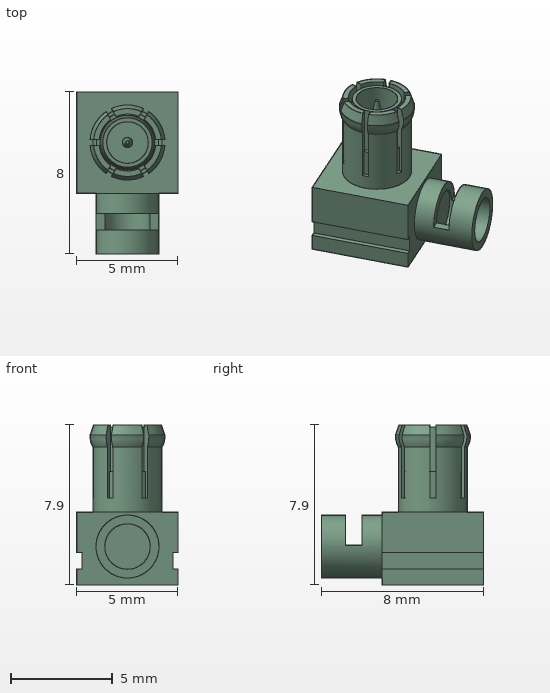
import cadquery as cq
import math

TOTAL_LENGTH = 8.0
TOTAL_HEIGHT = 7.9

BODY_SIDE = 5.0
BODY_HEIGHT = 3.6
SIDE_GROOVE_DEPTH = 0.25
SIDE_GROOVE_BOTTOM = 0.8
SIDE_GROOVE_WIDTH = 0.8

FERRULE_LENGTH = TOTAL_LENGTH - BODY_SIDE
FERRULE_RADIUS = 1.55
FERRULE_BORE_RADIUS = 1.12
FERRULE_AXIS_Z = 1.9
WINDOW_OFFSET = 1.0
WINDOW_WIDTH = 0.8
WINDOW_FLOOR_Z = 1.97
BORE_FLOOR_OFFSET = 0.9

SLEEVE_RADIUS = 1.7
SLEEVE_TIP_RADIUS = 1.67
SNAP_RADIUS = 1.85
SNAP_BOTTOM_Z = 6.8
SNAP_LAND_BOTTOM_Z = 7.3
SNAP_LAND_TOP_Z = 7.39
SLOT_COUNT = 6
SLOT_WIDTH = 0.3
SLOT_BOTTOM_Z = 4.3

SHOULDER_RADIUS = 1.53
SHOULDER_Z = 5.6
FINGER_BORE_RADIUS = 1.4
LINER_BASE_RADIUS = 1.34
LINER_TIP_RADIUS = 1.22
LINER_TOP_Z = 7.8
LINER_BORE_RADIUS = 1.02

PIN_RADIUS = 0.25
PIN_TIP_RADIUS = 0.08
PIN_CONE_BOTTOM_Z = 6.9
PIN_TOP_Z = 7.7


def revolve_profile(profile):
    """Revolve a closed (radius, Z) profile about the Z axis."""
    return profile.close().revolve(360, (0, 0, 0), (0, 1, 0))


def make_body():
    body = cq.Workplane("XY").box(BODY_SIDE, BODY_SIDE, BODY_HEIGHT, centered=(True, True, False))
    groove_z = SIDE_GROOVE_BOTTOM + SIDE_GROOVE_WIDTH / 2
    for side in (-1, 1):
        groove = cq.Workplane("XY").box(2 * SIDE_GROOVE_DEPTH, BODY_SIDE, SIDE_GROOVE_WIDTH)
        body = body.cut(groove.translate((side * BODY_SIDE / 2, 0, groove_z)))
    return body


def make_ferrule():
    body_face_y = -BODY_SIDE / 2
    face = cq.Workplane("XZ", origin=(0, body_face_y, FERRULE_AXIS_Z))
    ferrule = face.circle(FERRULE_RADIUS).extrude(FERRULE_LENGTH)
    bore = (
        face.workplane(offset=BORE_FLOOR_OFFSET)
        .circle(FERRULE_BORE_RADIUS)
        .extrude(FERRULE_LENGTH - BORE_FLOOR_OFFSET)
    )
    window = cq.Workplane("XY").box(
        2 * FERRULE_RADIUS, WINDOW_WIDTH, FERRULE_RADIUS, centered=(True, True, False)
    )
    window_y = body_face_y - WINDOW_OFFSET - WINDOW_WIDTH / 2
    return ferrule.cut(bore).cut(window.translate((0, window_y, WINDOW_FLOOR_Z)))


def make_sleeve_blank():
    """Sleeve without slots: solid to the shoulder, then a thin wall with the snap bead."""
    bead_rise = SNAP_LAND_BOTTOM_Z - SNAP_BOTTOM_Z
    bead_swell = SNAP_RADIUS - SLEEVE_RADIUS
    flank_radius = (bead_rise**2 + bead_swell**2) / (2 * bead_swell)
    half_angle = math.asin(bead_rise / flank_radius) / 2
    flank_middle = (
        SNAP_RADIUS - flank_radius * (1 - math.cos(half_angle)),
        SNAP_LAND_BOTTOM_Z - flank_radius * math.sin(half_angle),
    )
    return revolve_profile(
        cq.Workplane("XZ")
        .moveTo(0, BODY_HEIGHT)
        .lineTo(SLEEVE_RADIUS, BODY_HEIGHT)
        .lineTo(SLEEVE_RADIUS, SNAP_BOTTOM_Z)
        .threePointArc(flank_middle, (SNAP_RADIUS, SNAP_LAND_BOTTOM_Z))
        .lineTo(SNAP_RADIUS, SNAP_LAND_TOP_Z)
        .lineTo(SLEEVE_TIP_RADIUS, TOTAL_HEIGHT)
        .lineTo(FINGER_BORE_RADIUS, TOTAL_HEIGHT)
        .lineTo(FINGER_BORE_RADIUS, SHOULDER_Z)
        .lineTo(0, SHOULDER_Z)
    )


def make_slots():
    """Radial slots that split the sleeve into fingers but leave the shoulder whole."""
    slot_height = TOTAL_HEIGHT - SLOT_BOTTOM_Z
    base = cq.Workplane("XY").workplane(offset=SLOT_BOTTOM_Z)
    slots = cq.Workplane("XY")
    for index in range(SLOT_COUNT // 2):
        bar = base.rect(BODY_SIDE, SLOT_WIDTH).extrude(slot_height)
        slots = slots.add(bar.rotate((0, 0, 0), (0, 0, 1), index * 360 / SLOT_COUNT))
    shoulder = base.circle(SHOULDER_RADIUS).extrude(SHOULDER_Z - SLOT_BOTTOM_Z)
    return slots.combine().cut(shoulder)


def make_liner_cone():
    return revolve_profile(
        cq.Workplane("XZ")
        .moveTo(0, SHOULDER_Z)
        .lineTo(LINER_BASE_RADIUS, SHOULDER_Z)
        .lineTo(LINER_TIP_RADIUS, LINER_TOP_Z)
        .lineTo(0, LINER_TOP_Z)
    )


def make_pin():
    return revolve_profile(
        cq.Workplane("XZ")
        .moveTo(0, BODY_HEIGHT)
        .lineTo(PIN_RADIUS, BODY_HEIGHT)
        .lineTo(PIN_RADIUS, PIN_CONE_BOTTOM_Z)
        .lineTo(PIN_TIP_RADIUS, PIN_TOP_Z)
        .lineTo(0, PIN_TOP_Z)
    )


liner_bore = (
    cq.Workplane("XY")
    .workplane(offset=BODY_HEIGHT)
    .circle(LINER_BORE_RADIUS)
    .extrude(LINER_TOP_Z - BODY_HEIGHT)
)
socket = make_sleeve_blank().cut(make_slots()).union(make_liner_cone()).cut(liner_bore)
result = make_body().union(make_ferrule()).union(socket).union(make_pin())